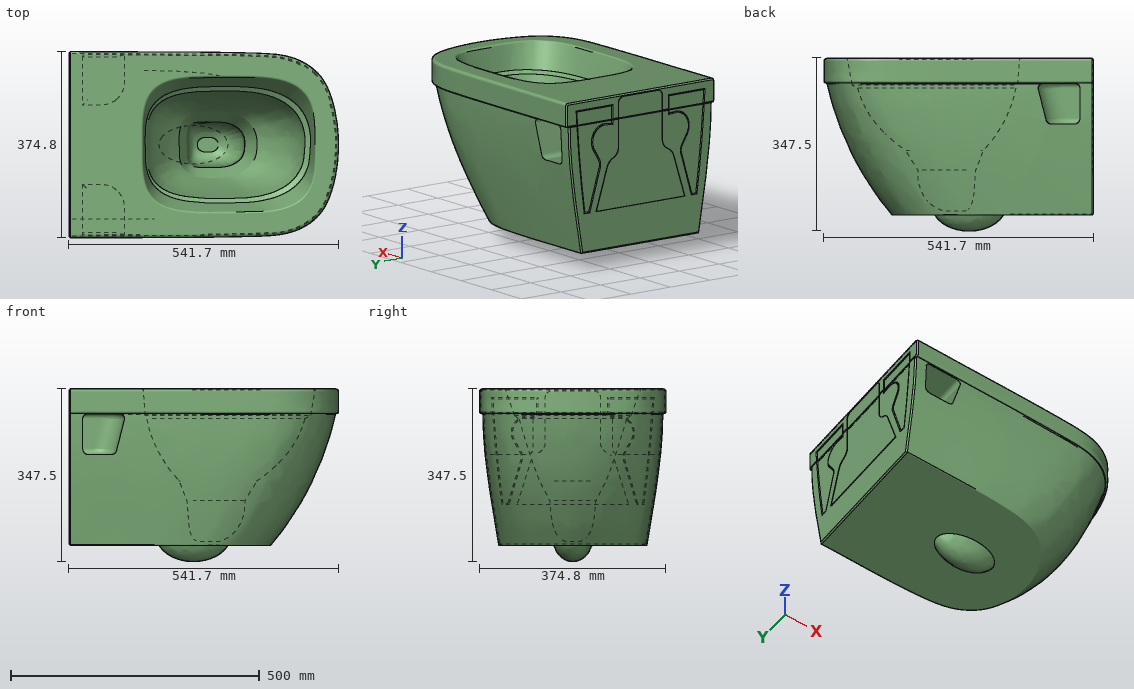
import cadquery as cq
import math


length = 541.68
width = 374.83
overall_height = 347.52
trap_drop = 32.5
top_z = overall_height - trap_drop

rim_height = 50.0
rim_bottom_z = top_z - rim_height
rim_top_radius = 6.0
rim_bottom_radius = 4.0
back_edge_chamfer = 3.0
cove_radius = 2.0
underside_radius = 2.0

rim_shares = [(0.0, 1.0), (0.69, 0.984), (0.84, 0.923), (0.931, 0.742), (0.983, 0.41), (1.0, 0.0)]
underside_shares = [(0.0, 1.0), (0.6, 0.98), (0.785, 0.893), (0.902, 0.69), (0.975, 0.365), (1.0, 0.0)]

body_sections = [
    (0.0, 405.0, 149.0),
    (84.5, 465.0, 163.0),
    (173.0, 508.0, 175.5),
    (rim_bottom_z, 536.0, 181.0),
]

bulge_x = 250.0
bulge_z = 20.0
bulge_half_length = 74.7
bulge_half_width = 41.7
bulge_half_height = bulge_z + trap_drop

opening = (0.0, 149.0, 320.0, 495.0, 136.0, 4.0, 3.6)
ledge_outer = (54.0, 153.0, 320.0, 485.0, 117.0, 3.3, 2.6)
ledge_inner = (60.0, 156.0, 320.0, 474.0, 108.0, 3.3, 2.5)
basin_middle = (120.0, 176.0, 310.0, 446.0, 90.0, 3.2, 2.4)
basin_bottom = (185.0, 221.0, 295.0, 378.0, 67.0, 3.2, 2.3)
sump_top = (225.0, 237.0, 290.0, 353.0, 46.0, 5.0, 2.5)
sump_middle = (265.0, 240.0, 290.0, 347.0, 42.0, 4.5, 2.5)
sump_bend = (295.0, 246.0, 285.0, 325.0, 31.0, 3.5, 2.3)
sump_bottom = (307.0, 258.0, 280.0, 300.0, 15.0, 2.5, 2.2)
opening_edge_radius = 4.0
points_per_quarter = 6

access_back_x = 27.5
access_top_front_x = 114.0
access_bottom_front_x = 93.5
access_top_z = rim_bottom_z - 1.0
access_bottom_z = 182.5
access_inner_y = 80.0
access_corner_radius = 9.0
access_turn_radius = 45.0
access_inner_radius = 12.0

side_recess_depth = 1.0
side_recess_slope_width = 2.5
side_recess_taper = math.degrees(math.atan(side_recess_slope_width / side_recess_depth))
panel_recess_depth = 1.0
panel_top_z = 310.0
recess_bottom_z = 82.0


def outline_wire(z, section_length, half_width):
    """Flat-backed section whose front grows rounder from the rim down to the underside."""
    rise = min(z / rim_bottom_z, 1.0)
    side = []
    for (low_x, low_y), (high_x, high_y) in zip(underside_shares, rim_shares):
        x = section_length * (low_x + rise * (high_x - low_x))
        y = half_width * (low_y + rise * (high_y - low_y))
        side.append(cq.Vector(x, y, z))
    mirrored = [cq.Vector(p.x, -p.y, z) for p in reversed(side[:-1])]
    front = cq.Edge.makeSpline(
        side + mirrored,
        tangents=[side[1] - side[0], mirrored[-1] - mirrored[-2]],
    )
    back = cq.Edge.makeLine(front.endPoint(), front.startPoint())
    return cq.Wire.assembleEdges([front, back])


def make_rim():
    wire = outline_wire(rim_bottom_z, length, width / 2)
    rim = cq.Workplane(cq.Solid.extrudeLinear(wire, [], cq.Vector(0, 0, rim_height)))
    rim = rim.faces(">Z").edges("not(<X)").fillet(rim_top_radius)
    rim = rim.faces("<Z").edges("not(<X)").fillet(rim_bottom_radius)
    return rim.faces("<X").edges("not(<Z)").chamfer(back_edge_chamfer)


def make_body():
    wires = [outline_wire(*section) for section in body_sections]
    body = cq.Workplane(cq.Solid.makeLoft(wires))
    body = body.faces("<X").edges("not(>Z)").chamfer(back_edge_chamfer)
    return body.faces("<Z").edges("not(<X)").fillet(underside_radius)


def make_shell():
    """Rim and body joined, with a cove where the body meets the underside of the rim."""
    shell = make_rim().union(make_body())
    cove_edge = shell.faces("-Z").faces(">Z").edges("%BSPLINE").edges("<X")
    return shell.newObject(cove_edge.vals()).fillet(cove_radius)


def make_bulge():
    stretch = cq.Matrix(
        [
            [bulge_half_length, 0, 0, bulge_x],
            [0, bulge_half_width, 0, 0],
            [0, 0, bulge_half_height, bulge_z],
        ]
    )
    ball = cq.Solid.makeSphere(1.0, angleDegrees1=-90, angleDegrees2=90)
    lower = cq.Workplane("XY").box(2 * length, width, 2 * bulge_z + 2 * trap_drop)
    return cq.Workplane(ball.transformGeometry(stretch)).intersect(lower)


def bowl_wire(depth, back_x, widest_x, front_x, half_width, back_squareness, front_squareness):
    """Closed outline of two half superellipses that meet where it is widest."""
    points = []
    for step in range(4 * points_per_quarter):
        angle = step * math.pi / 2 / points_per_quarter
        along = math.cos(angle)
        across = math.sin(angle)
        in_front = along > 0
        reach = front_x - widest_x if in_front else widest_x - back_x
        power = 2 / (front_squareness if in_front else back_squareness)
        x = widest_x + math.copysign(reach * abs(along) ** power, along)
        y = math.copysign(half_width * abs(across) ** power, across)
        points.append(cq.Vector(x, y, top_z - depth))
    return cq.Wire.assembleEdges([cq.Edge.makeSpline(points, periodic=True)])


def bowl_loft(*sections):
    wires = [bowl_wire(*section) for section in sections]
    return cq.Workplane(cq.Solid.makeLoft(wires))


def make_bowl():
    shaft = bowl_loft(opening, ledge_outer)
    ledge = bowl_loft(ledge_outer, ledge_inner)
    basin = bowl_loft(ledge_inner, basin_middle, basin_bottom)
    funnel = bowl_loft(basin_bottom, sump_top)
    sump = bowl_loft(sump_top, sump_middle, sump_bend, sump_bottom)
    return shaft.union(ledge).union(basin).union(funnel).union(sump)


def make_access_pocket():
    """Pocket in the -Y side, its inner front corner turned with a large radius."""
    pocket = (
        cq.Workplane("XZ", origin=(0, -access_inner_y, 0))
        .moveTo(access_back_x, access_bottom_z)
        .lineTo(access_bottom_front_x, access_bottom_z)
        .lineTo(access_top_front_x, access_top_z)
        .lineTo(access_back_x, access_top_z)
        .close()
        .extrude(width / 2 - access_inner_y)
    )
    pocket = pocket.faces(">Y").edges(">X").fillet(access_turn_radius)
    pocket = pocket.faces("<Z").edges("not(<Y)").fillet(access_inner_radius)
    return pocket.faces(">Z").edges("not(<Y)").fillet(access_corner_radius)


def make_side_recess():
    """Recess with sloped walls on the +Y half of the back face."""
    return (
        cq.Workplane("YZ")
        .moveTo(163, 297)
        .lineTo(70, 297)
        .lineTo(70, 256)
        .lineTo(91, 258)
        .threePointArc((121, 229), (115, 208))
        .lineTo(104, 189)
        .threePointArc((101, 180), (102, 171))
        .lineTo(128.5, recess_bottom_z)
        .lineTo(142.5, recess_bottom_z)
        .threePointArc((155, 190), (163, 297))
        .close()
        .extrude(side_recess_depth, taper=side_recess_taper)
    )


def make_panel_recess():
    """Recess in the middle of the back face, narrow above and flared below."""
    half = (
        cq.Workplane("YZ")
        .moveTo(0, panel_top_z)
        .lineTo(46, panel_top_z)
        .threePointArc((52.5, 306), (55.5, 298))
        .lineTo(55.5, 206)
        .threePointArc((59, 195), (68, 187))
        .threePointArc((78, 180), (84.5, 169))
        .lineTo(112, recess_bottom_z)
        .lineTo(0, recess_bottom_z)
        .close()
        .extrude(panel_recess_depth)
    )
    return half.union(half.mirror("XZ"))


body = make_shell().union(make_bulge())
body = body.cut(make_bowl())
opening_edges = body.faces(">Z").val().innerWires()[0].Edges()
body = body.newObject(opening_edges).fillet(opening_edge_radius)
for pocket in (make_access_pocket(), make_side_recess()):
    body = body.cut(pocket).cut(pocket.mirror("XZ"))
result = body.cut(make_panel_recess())